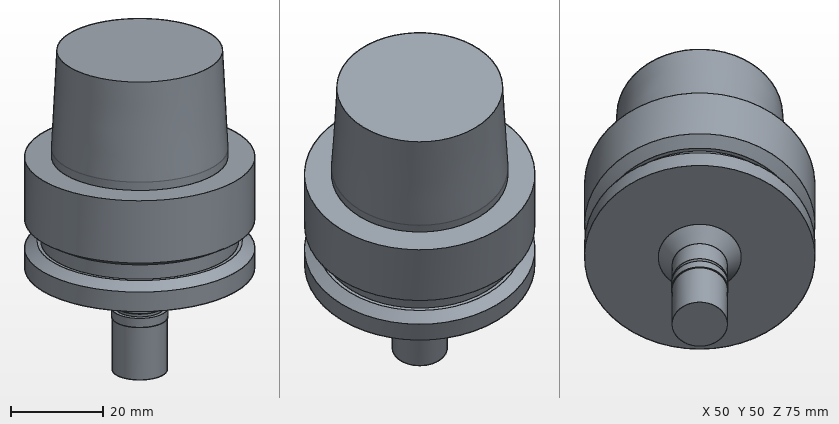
import cadquery as cq

taper_top_diameter = 36.0
taper_base_diameter = 38.3
total_height = 75.0
land_top_z = 52.0

flange_diameter = 50.0
flange_top_z = 50.0
flange_bottom_z = 24.0
groove_diameter = 43.0
groove_cone_diameter = 44.55
groove_upper_edge_z = 35.4
groove_lower_edge_z = 28.6
groove_wall_height = 1.6

tube_diameter = 12.0
neck_height = 3.0
neck_top_diameter = tube_diameter + 2 * neck_height
relief_diameter = 10.5
relief_top_z = 15.6
relief_cone_height = 0.45
collar_diameter = 12.3
collar_top_z = 14.55
collar_bottom_z = 12.3
collar_chamfer = (collar_diameter - tube_diameter) / 2


def cylinder(diameter, bottom_z, top_z):
    """Round bar on the Z axis."""
    return cq.Workplane("XY").workplane(offset=bottom_z).circle(diameter / 2).extrude(top_z - bottom_z)


def cone(bottom_diameter, top_diameter, bottom_z, top_z):
    """Truncated cone on the Z axis."""
    profile = [
        (0, bottom_z),
        (bottom_diameter / 2, bottom_z),
        (top_diameter / 2, top_z),
        (0, top_z),
    ]
    return cq.Workplane("XZ").polyline(profile).close().revolve(360, (0, 0), (0, 1))


def make_taper():
    land = cylinder(taper_base_diameter, flange_top_z, land_top_z)
    return land.union(cone(taper_base_diameter, taper_top_diameter, land_top_z, total_height))


def make_flange():
    floor_top_z = groove_upper_edge_z - groove_wall_height
    floor_bottom_z = groove_lower_edge_z + groove_wall_height
    flange = cylinder(flange_diameter, groove_upper_edge_z, flange_top_z)
    flange = flange.union(cone(groove_cone_diameter, flange_diameter, floor_top_z, groove_upper_edge_z))
    flange = flange.union(cylinder(groove_diameter, floor_bottom_z, floor_top_z))
    flange = flange.union(cone(flange_diameter, groove_cone_diameter, groove_lower_edge_z, floor_bottom_z))
    return flange.union(cylinder(flange_diameter, flange_bottom_z, groove_lower_edge_z))


def make_tube():
    neck_bottom_z = flange_bottom_z - neck_height
    collar_edge_z = collar_bottom_z + collar_chamfer
    relief_cone_bottom_z = relief_top_z - relief_cone_height
    tube = cone(tube_diameter, neck_top_diameter, neck_bottom_z, flange_bottom_z)
    tube = tube.union(cylinder(tube_diameter, relief_top_z, neck_bottom_z))
    tube = tube.union(cone(relief_diameter, tube_diameter, relief_cone_bottom_z, relief_top_z))
    tube = tube.union(cylinder(relief_diameter, collar_top_z, relief_cone_bottom_z))
    tube = tube.union(cylinder(collar_diameter, collar_edge_z, collar_top_z))
    tube = tube.union(cone(tube_diameter, collar_diameter, collar_bottom_z, collar_edge_z))
    return tube.union(cylinder(tube_diameter, 0, collar_bottom_z))


result = make_taper().union(make_flange()).union(make_tube())